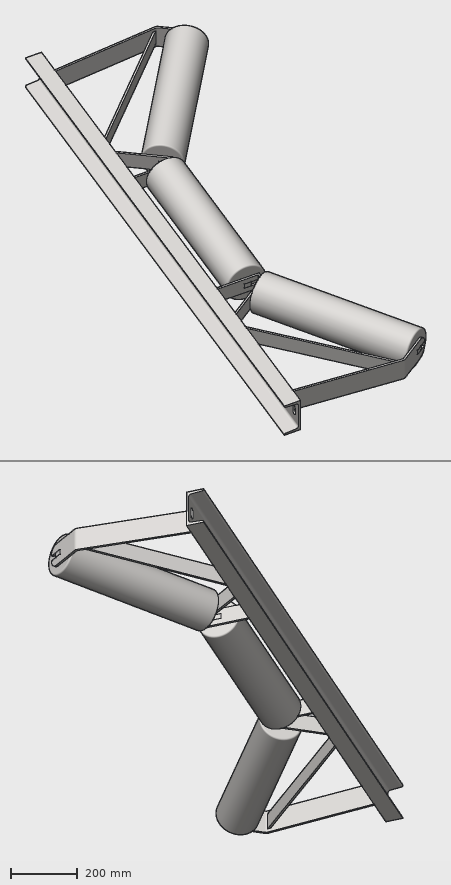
import cadquery as cq
import math

BEAM_LENGTH = 1700.0
BEAM_HEIGHT = 120.0
FLANGE_WIDTH = 55.0
WEB_THICKNESS = 7.0
FLANGE_TIP_THICKNESS = 7.0
FLANGE_TAPER = 0.08
ROOT_RADIUS = 8.0
TOE_RADIUS = 5.0
BOLT_SLOT_WIDTH = 15.0
BOLT_SLOT_LENGTH = 35.0
BOLT_SLOT_INSET = 29.0

ROLLER_DIAMETER = 133.0
ROLLER_LENGTH = 530.0
ROLLER_EDGE_RADIUS = 5.0
TILT = 35.0
SIDE_ROLLER_X = 535.0
MIDDLE_ROLLER_Y = 117.0
OVERALL_DEPTH = 545.0
SHAFT_WIDTH = 17.0
SHAFT_HEIGHT = 24.0

PLATE_THICKNESS = 7.0
OUTER_WIDTH = 76.0
INNER_WIDTH = 55.0
ROLLER_GAP = 3.0
OUTER_FOOT_X = 777.0
TIP_RISE = 32.0
TIP_CORNER_RADIUS = 25.0
BEND_DROP = 92.0
BEND_INNER_RADIUS = 8.0
STRUT_FOOT_X = 442.0
STRUT_DROP = 3.0
BRIDGE_TOP_Y = 158.0

tilt_angle = math.radians(TILT)
AXIS = (math.cos(tilt_angle), -math.sin(tilt_angle))
RISE = (math.sin(tilt_angle), math.cos(tilt_angle))
ALONG_X = (1.0, 0.0)

SIDE_ROLLER_Y = (OVERALL_DEPTH - FLANGE_WIDTH - ROLLER_EDGE_RADIUS
                 - (ROLLER_LENGTH / 2 - ROLLER_EDGE_RADIUS) * math.sin(tilt_angle)
                 - (ROLLER_DIAMETER / 2 - ROLLER_EDGE_RADIUS) * math.cos(tilt_angle))
FACE_DISTANCE = ROLLER_LENGTH / 2 + ROLLER_GAP
SHAFT_LENGTH = 2 * (FACE_DISTANCE + PLATE_THICKNESS)


def side_point(along, up):
    """Point placed along and square to the axis of the left roller, from its centre."""
    return (-SIDE_ROLLER_X + along * AXIS[0] + up * RISE[0],
            SIDE_ROLLER_Y + along * AXIS[1] + up * RISE[1])


OUTER_FOOT = (-OUTER_FOOT_X, 0)
OUTER_BEND = side_point(-FACE_DISTANCE, -BEND_DROP)
OUTER_TIP = side_point(-FACE_DISTANCE, TIP_RISE)


def direction(start, end):
    """Unit direction from one point to another."""
    length = math.dist(start, end)
    return ((end[0] - start[0]) / length, (end[1] - start[1]) / length)


def crossing(p, p_dir, q, q_dir):
    """Point where the line through p meets the line through q."""
    cross = p_dir[0] * q_dir[1] - p_dir[1] * q_dir[0]
    t = ((q[0] - p[0]) * q_dir[1] - (q[1] - p[1]) * q_dir[0]) / cross
    return (p[0] + t * p_dir[0], p[1] + t * p_dir[1])


def strip(path, thickness, width, start_cut, end_cut):
    """Folded plate: thickened to the left of the path, its ends cut along two directions."""
    lines = [(path[0], start_cut)]
    for start, end in zip(path, path[1:]):
        along = direction(start, end)
        shifted = (start[0] - along[1] * thickness, start[1] + along[0] * thickness)
        lines.append((shifted, along))
    lines.append((path[-1], end_cut))
    far_side = [crossing(*first, *second) for first, second in zip(lines, lines[1:])]
    outline = path + far_side[::-1]
    return cq.Workplane("XY", origin=(0, 0, -width / 2)).polyline(outline).close().extrude(width)


def place_left(body):
    """Move a body built along X at the origin to the left tilted roller position."""
    return body.rotate((0, 0, 0), (0, 0, 1), -TILT).translate((-SIDE_ROLLER_X, SIDE_ROLLER_Y, 0))


def place_middle(body):
    """Move a body built along X at the origin to the middle roller position."""
    return body.translate((0, MIDDLE_ROLLER_Y, 0))


def make_beam():
    """Channel opening towards -Y, with an upright bolt slot near each end of its web."""
    root_thickness = FLANGE_TIP_THICKNESS + FLANGE_TAPER * (FLANGE_WIDTH - WEB_THICKNESS)
    top = BEAM_HEIGHT / 2
    tip_z = top - FLANGE_TIP_THICKNESS
    root_z = top - root_thickness
    profile = [
        (0, -top), (-FLANGE_WIDTH, -top), (-FLANGE_WIDTH, -tip_z), (-WEB_THICKNESS, -root_z),
        (-WEB_THICKNESS, root_z), (-FLANGE_WIDTH, tip_z), (-FLANGE_WIDTH, top), (0, top),
    ]
    left_end = (-BEAM_LENGTH / 2, 0, 0)
    beam = cq.Workplane("YZ", origin=left_end).polyline(profile).close().extrude(BEAM_LENGTH)
    for side in (-1, 1):
        root = cq.selectors.NearestToPointSelector((0, -WEB_THICKNESS, side * root_z))
        beam = beam.edges("|X").edges(root).fillet(ROOT_RADIUS)
        toe = cq.selectors.NearestToPointSelector((0, -FLANGE_WIDTH, side * tip_z))
        beam = beam.edges("|X").edges(toe).fillet(TOE_RADIUS)
    slot_x = BEAM_LENGTH / 2 - BOLT_SLOT_INSET
    slots = (
        cq.Workplane("XZ")
        .pushPoints([(-slot_x, 0), (slot_x, 0)])
        .slot2D(BOLT_SLOT_LENGTH, BOLT_SLOT_WIDTH, 90)
        .extrude(WEB_THICKNESS)
    )
    return beam.cut(slots)


def make_roller():
    """Roller along X at the origin, with a flat-sided shaft standing out at both ends."""
    shell = (
        cq.Workplane("YZ", origin=(-ROLLER_LENGTH / 2, 0, 0))
        .circle(ROLLER_DIAMETER / 2)
        .extrude(ROLLER_LENGTH)
        .faces("<X or >X")
        .edges()
        .fillet(ROLLER_EDGE_RADIUS)
    )
    return shell.union(cq.Workplane("XY").box(SHAFT_LENGTH, SHAFT_HEIGHT, SHAFT_WIDTH))


def make_shaft_slot():
    """Cutter for the open slots that hold both ends of a shaft built along X at the origin."""
    slot_height = (SHAFT_HEIGHT + ROLLER_DIAMETER) / 2
    return (
        cq.Workplane("XY")
        .box(SHAFT_LENGTH, slot_height, SHAFT_WIDTH)
        .translate((0, (slot_height - SHAFT_HEIGHT) / 2, 0))
    )


def make_outer_bracket():
    """Leg rising from the beam and bent to lie square to the outer end of the roller."""
    bracket = strip([OUTER_FOOT, OUTER_BEND, OUTER_TIP], PLATE_THICKNESS, OUTER_WIDTH, ALONG_X, AXIS)
    inner_bend = cq.selectors.NearestToPointSelector((*OUTER_BEND, 0))
    bracket = bracket.edges("|Z").edges(inner_bend).fillet(BEND_INNER_RADIUS)
    outer_bend = cq.selectors.NearestToPointSelector((OUTER_BEND[0] - PLATE_THICKNESS, OUTER_BEND[1], 0))
    bracket = bracket.edges("|Z").edges(outer_bend).fillet(BEND_INNER_RADIUS + PLATE_THICKNESS)
    tip_corners = cq.selectors.ParallelDirSelector(cq.Vector(*AXIS))
    bracket = bracket.edges(tip_corners).fillet(TIP_CORNER_RADIUS)
    return bracket.cut(place_left(make_shaft_slot()))


def make_inner_bracket():
    """Sloped plate and upright leg joined by a short bridge, between two rollers."""
    lower_face = side_point(FACE_DISTANCE + PLATE_THICKNESS, 0)
    bridge_bottom = (0, BRIDGE_TOP_Y - PLATE_THICKNESS)
    leg_x = -FACE_DISTANCE - PLATE_THICKNESS
    path = [
        crossing(lower_face, RISE, (0, 0), ALONG_X),
        crossing(lower_face, RISE, bridge_bottom, ALONG_X),
        (leg_x, bridge_bottom[1]),
        (leg_x, 0),
    ]
    bracket = strip(path, PLATE_THICKNESS, INNER_WIDTH, ALONG_X, ALONG_X)
    return bracket.cut(place_left(make_shaft_slot())).cut(place_middle(make_shaft_slot()))


def make_strut():
    """Flat brace from the beam up to the outer bracket, just below its bend."""
    leg = direction(OUTER_FOOT, OUTER_BEND)
    top = (OUTER_BEND[0] - STRUT_DROP * leg[0], OUTER_BEND[1] - STRUT_DROP * leg[1])
    return strip([(-STRUT_FOOT_X, 0), top], PLATE_THICKNESS, INNER_WIDTH, ALONG_X, leg)


beam = make_beam()
middle_roller = place_middle(make_roller())
left_bodies = [
    place_left(make_roller()),
    make_outer_bracket(),
    make_inner_bracket(),
    make_strut(),
]

bodies = [beam.val(), middle_roller.val()]
for left_body in left_bodies:
    bodies.append(left_body.val())
    bodies.append(left_body.mirror("YZ").val())

result = cq.Compound.makeCompound(bodies)